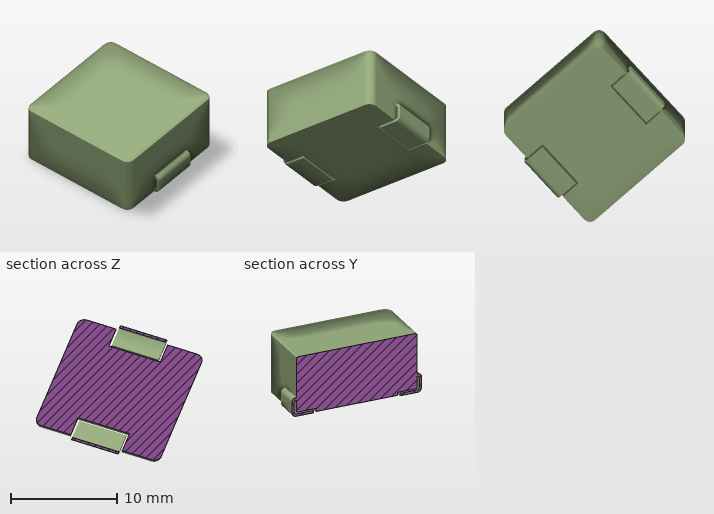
import cadquery as cq
import math

overall_length = 13.5
overall_height = 6.2

body_side = 12.5
standoff = 0.1
corner_radius = 0.75
top_bevel_inset = 0.2
top_bevel_drop = 0.1
body_height = overall_height - standoff

strip_thickness = 0.3
strip_width = 4.7
terminal_height = 2.0
bend_radius = (overall_length - body_side) / 2
foot_end = 4.45

recess_gap = 0.2
recess_top = 0.4

body_half = body_side / 2
outer_x = overall_length / 2


def make_body():
    """Square block with rounded vertical corners and a shallow top bevel."""
    block = cq.Workplane("XY", origin=(0, 0, standoff)).box(
        body_side, body_side, body_height, centered=(True, True, False)
    )
    block = block.edges("|Z").fillet(corner_radius)
    return block.faces(">Z").chamfer(top_bevel_drop, top_bevel_inset)


def make_recess():
    """Recess for the foot on the +X side, open downward and outward."""
    inner_end = foot_end - recess_gap
    return cq.Workplane("XY", origin=(inner_end, 0, 0)).box(
        outer_x - inner_end,
        strip_width + 2 * recess_gap,
        recess_top,
        centered=(False, True, False),
    )


def make_terminal():
    """C-shaped strip on the +X side: foot, upright and a bend that meets the body wall."""
    inner_radius = bend_radius - strip_thickness
    diagonal = math.sqrt(0.5)
    inner_x = outer_x - strip_thickness
    low_center = bend_radius
    high_center = terminal_height - bend_radius
    outer_mid = bend_radius * diagonal
    inner_mid = inner_radius * diagonal
    profile = (
        cq.Workplane("XZ")
        .moveTo(foot_end, 0)
        .lineTo(body_half, 0)
        .threePointArc((body_half + outer_mid, low_center - outer_mid), (outer_x, low_center))
        .lineTo(outer_x, high_center)
        .threePointArc((body_half + outer_mid, high_center + outer_mid), (body_half, terminal_height))
        .lineTo(body_half, terminal_height - strip_thickness)
        .threePointArc((body_half + inner_mid, high_center + inner_mid), (inner_x, high_center))
        .lineTo(inner_x, low_center)
        .threePointArc((body_half + inner_mid, low_center - inner_mid), (body_half, strip_thickness))
        .lineTo(foot_end, strip_thickness)
        .close()
    )
    return profile.extrude(strip_width / 2, both=True)


recess = make_recess()
terminal = make_terminal()
result = make_body()
for turn in (0, 180):
    result = result.cut(recess.rotate((0, 0, 0), (0, 0, 1), turn))
    result = result.union(terminal.rotate((0, 0, 0), (0, 0, 1), turn))